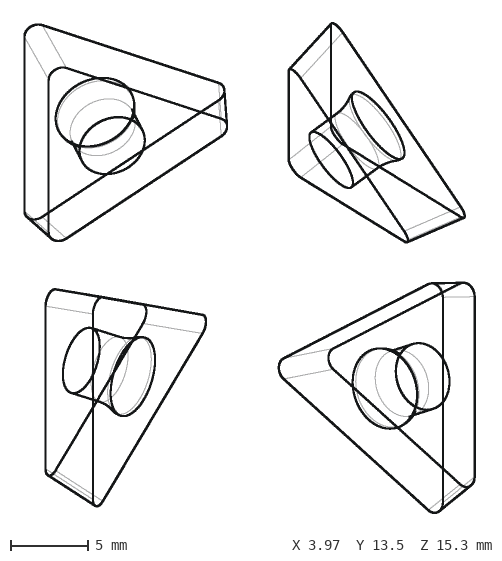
import cadquery as cq
import math

thickness = 3.97
inscribed_diameter = 9.525
nose_radius = 0.8
clearance_angle = 7.0
tip_angles = (0, 120, 240)
nose_half_sweep = 60

bore_diameter = 4.4
mouth_diameter = 5.3
seat_diameter = 5.2
mouth_depth = 0.26
seat_end_depth = 1.79

mouth_radius = mouth_diameter / 2
seat_radius = seat_diameter / 2
bore_radius = bore_diameter / 2


def triangle_wire(x, inscribed_radius):
    """Rounded equilateral triangle at the given X, its tip toward +Y."""
    center_radius = 2 * (inscribed_radius - nose_radius)
    noses = []
    for tip_angle in tip_angles:
        tip = math.radians(tip_angle)
        center_y = center_radius * math.cos(tip)
        center_z = center_radius * math.sin(tip)
        nose = []
        for offset in (-nose_half_sweep, 0, nose_half_sweep):
            direction = math.radians(tip_angle + offset)
            y = center_y + nose_radius * math.cos(direction)
            z = center_z + nose_radius * math.sin(direction)
            nose.append(cq.Vector(x, y, z))
        noses.append(nose)

    edges = []
    for nose, next_nose in zip(noses, noses[1:] + noses[:1]):
        edges.append(cq.Edge.makeThreePointArc(*nose))
        edges.append(cq.Edge.makeLine(nose[-1], next_nose[0]))
    return cq.Wire.assembleEdges(edges)


def insert_body():
    """Ruled body whose flanks lean inward while the nose radius stays constant."""
    large_radius = inscribed_diameter / 2
    small_radius = large_radius - thickness * math.tan(math.radians(clearance_angle))
    large_face = triangle_wire(0, large_radius)
    small_face = triangle_wire(thickness, small_radius)
    return cq.Workplane(obj=cq.Solid.makeLoft([large_face, small_face], True))


def screw_hole():
    """Revolved hole whose seat arc runs tangent into the bore."""
    return (
        cq.Workplane("XY")
        .moveTo(thickness, 0)
        .lineTo(thickness, bore_radius)
        .lineTo(seat_end_depth, bore_radius)
        .tangentArcPoint((mouth_depth, seat_radius), relative=False)
        .lineTo(0, mouth_radius)
        .lineTo(0, 0)
        .close()
        .revolve(360, (0, 0, 0), (1, 0, 0))
    )


result = insert_body().cut(screw_hole())